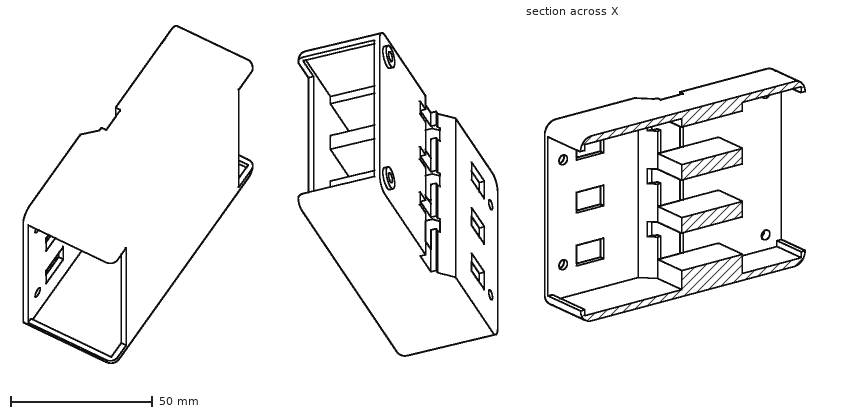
import cadquery as cq

LENGTH = 100.0
HEIGHT = 70.0
DEPTH = 36.9
HALF_LENGTH = LENGTH / 2
HALF_HEIGHT = HEIGHT / 2

WALL = 2.0
CORNER_RADIUS = 5.0
COVER_FILLET = 3.0

STEP_X = 4.9
STEP_Y = -5.0
SLOPE_RUN = STEP_X
SLOPE_FOOT_Y = STEP_Y - SLOPE_RUN
GROOVE_X = STEP_X + WALL
GROOVE_FRONT_Y = -3.6
GROOVE_BACK_Y = 6.4

CORE_FRONT_Y = STEP_Y
CORE_BACK_Y = 22.0
FLOOR = 2.8
FRONT_MOUTH_DEPTH = 9.0
REAR_MOUTH_DEPTH = 12.0
MOUTH_HALF_HEIGHT = HALF_HEIGHT - CORNER_RADIUS

CHANNEL_PITCH = 20.0
CHANNEL_HEIGHT = 14.0
CHANNEL_COUNT = 3
TOP_CHANNEL_Z = 29.0

SLOT_X = 4.3
SLOT_HEIGHT = 5.6
SLOT_END_Y = 11.7

WINDOW_DROP = 2.9
WINDOW_BACK_Y = -25.2
WINDOW_LENGTH = 12.1
WINDOW_HEIGHT = 7.7

HOLE_DIAMETER = 3.6
FRONT_HOLE_Y = -43.2
FRONT_HOLE_Z = 19.8
PAD_DIAMETER = 8.0
PAD_HEIGHT = 1.3
PAD_Y = 43.0
PAD_Z = 26.7


def box(x_range, y_range, z_range):
    """Axis-aligned block between pairs of limits."""
    (x0, x1), (y0, y1), (z0, z1) = x_range, y_range, z_range
    return cq.Workplane("XY").box(x1 - x0, y1 - y0, z1 - z0, centered=False).translate((x0, y0, z0))


def x_cylinder(diameter, start_x, length, y, z):
    """Cylinder along +X starting at start_x."""
    return cq.Workplane("YZ", origin=(start_x, y, z)).circle(diameter / 2).extrude(length)


body = cq.Workplane("XY").box(DEPTH, LENGTH, HEIGHT, centered=(False, True, True))
body = body.edges("|X").fillet(CORNER_RADIUS)
body = body.faces(">X").edges().fillet(COVER_FILLET)

step = (
    cq.Workplane("XY")
    .polyline([
        (0, SLOPE_FOOT_Y),
        (STEP_X, STEP_Y),
        (STEP_X, HALF_LENGTH),
        (0, HALF_LENGTH),
    ])
    .close()
    .extrude(HALF_HEIGHT, both=True)
)
body = body.cut(step)

groove_y = (GROOVE_FRONT_Y, GROOVE_BACK_Y)
body = body.cut(box((0, GROOVE_X), groove_y, (-HALF_HEIGHT, HALF_HEIGHT)))

inner_half_height = HALF_HEIGHT - FLOOR
front_chamber = (
    cq.Workplane("XY")
    .polyline([
        (WALL, -HALF_LENGTH + WALL),
        (DEPTH - WALL, -HALF_LENGTH + WALL),
        (DEPTH - WALL, CORE_FRONT_Y),
        (GROOVE_X, CORE_FRONT_Y),
        (WALL, SLOPE_FOOT_Y),
    ])
    .close()
    .extrude(inner_half_height, both=True)
)
rear_chamber = box(
    (GROOVE_X, DEPTH - WALL),
    (CORE_BACK_Y, HALF_LENGTH - WALL),
    (-inner_half_height, inner_half_height),
)
body = body.cut(front_chamber).cut(rear_chamber)

mouth_z = (-MOUTH_HALF_HEIGHT, MOUTH_HALF_HEIGHT)
body = body.cut(box((WALL, DEPTH), (-HALF_LENGTH, -HALF_LENGTH + FRONT_MOUTH_DEPTH), mouth_z))
body = body.cut(box((GROOVE_X, DEPTH), (HALF_LENGTH - REAR_MOUTH_DEPTH, HALF_LENGTH), mouth_z))

for index in range(CHANNEL_COUNT):
    top = TOP_CHANNEL_Z - index * CHANNEL_PITCH
    channel = box((GROOVE_X, DEPTH - WALL), (CORE_FRONT_Y, CORE_BACK_Y), (top - CHANNEL_HEIGHT, top))
    slot = box((SLOT_X, GROOVE_X), (SLOPE_FOOT_Y, SLOT_END_Y), (top - SLOT_HEIGHT, top))
    window_top = top - WINDOW_DROP
    window = box(
        (0, WALL),
        (WINDOW_BACK_Y - WINDOW_LENGTH, WINDOW_BACK_Y),
        (window_top - WINDOW_HEIGHT, window_top),
    )
    body = body.cut(channel).cut(slot).cut(window)

pad_x = STEP_X - PAD_HEIGHT
for side in (-1, 1):
    body = body.union(x_cylinder(PAD_DIAMETER, pad_x, PAD_HEIGHT, PAD_Y, side * PAD_Z))
    body = body.cut(x_cylinder(HOLE_DIAMETER, pad_x, PAD_HEIGHT + WALL, PAD_Y, side * PAD_Z))
    body = body.cut(x_cylinder(HOLE_DIAMETER, 0, WALL, FRONT_HOLE_Y, side * FRONT_HOLE_Z))

result = body